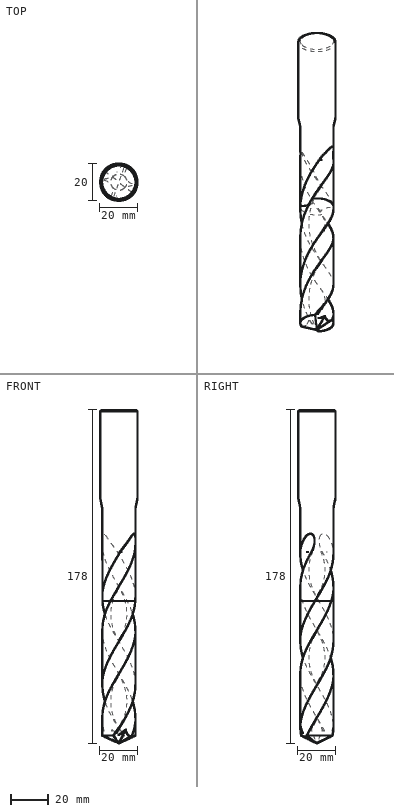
import cadquery as cq
import math

total_length = 178.0
shank_diameter = 20.0
shank_radius = shank_diameter / 2
drill_radius = 8.9

shank_start = 130.7
neck_cone_start = 125.3
chamfer_width = 1.0
chamfer_height = 0.7

joint_height = 76.0

point_angle = 130.0
point_height = drill_radius / math.tan(math.radians(point_angle / 2))

flute_count = 2
flute_pitch = 93.3
flute_radius = 5.3
web_radius = 4.3
flute_offset = web_radius + flute_radius
flute_top = 102.2
flute_crosses_x_at = 22.5

runout_tangential = 10.7
runout_outward = 4.3
runout_rise = 15.0

gash_inner = cq.Vector(0.4, -0.5, 0.9)
gash_outer = cq.Vector(3.7, -3.0, 7.5)
gash_left = cq.Vector(-1.8, -6.8, 4.1)
gash_right = cq.Vector(5.7, -4.5, 4.3)
gash_stretch = 2.0


def flute_angle(height):
    """Direction, in degrees from +X, that the first flute faces at a height."""
    return 360 * (height - flute_crosses_x_at) / flute_pitch


def about_axis(shape, degrees):
    """Turn a shape about the drill axis."""
    return shape.rotate((0, 0, 0), (0, 0, 1), degrees)


def flute_section(height):
    """Flute circle facing +X at a height."""
    return cq.Workplane("XY", origin=(0, 0, height)).moveTo(flute_offset, 0).circle(flute_radius)


def make_twisted_flute(start, end):
    """Cutter for the helical stretch of the first flute."""
    twist = flute_angle(end) - flute_angle(start)
    cutter = flute_section(start).twistExtrude(end - start, twist)
    return about_axis(cutter, flute_angle(start))


def make_runout():
    """Cutter for the straight upper end of the first flute."""
    section = cq.Wire.makeCircle(flute_radius, cq.Vector(flute_offset, 0, flute_top), cq.Vector(0, 0, 1))
    direction = cq.Vector(runout_outward, runout_tangential, runout_rise)
    cutter = cq.Solid.extrudeLinear(section, [], direction)
    return about_axis(cq.Workplane(obj=cutter), flute_angle(flute_top))


def make_gash():
    """Wedge whose edge runs from the web centre up and out to the first flute."""
    edge = gash_outer - gash_inner
    left = gash_inner + (gash_left - gash_outer) * gash_stretch
    right = gash_inner + (gash_right - gash_outer) * gash_stretch
    section = cq.Wire.makePolygon([gash_inner, left, right], close=True)
    return cq.Workplane(obj=cq.Solid.extrudeLinear(section, [], edge * gash_stretch))


def cut_each_flute(body, cutter):
    """Cut a body once for each flute."""
    for index in range(flute_count):
        body = body.cut(about_axis(cutter, index * 360 / flute_count))
    return body


def make_cutting_head():
    """Pointed, fluted lower body."""
    profile = [
        (0, 0),
        (drill_radius, point_height),
        (drill_radius, joint_height),
        (0, joint_height),
    ]
    body = cq.Workplane("XZ").polyline(profile).close().revolve(360, (0, 0), (0, 1))
    body = cut_each_flute(body, make_twisted_flute(0, joint_height))
    return cut_each_flute(body, make_gash())


def make_holder():
    """Upper body: fluted neck, cone and chamfered shank."""
    profile = [
        (0, joint_height),
        (drill_radius, joint_height),
        (drill_radius, neck_cone_start),
        (shank_radius, shank_start),
        (shank_radius, total_length - chamfer_height),
        (shank_radius - chamfer_width, total_length),
        (0, total_length),
    ]
    body = cq.Workplane("XZ").polyline(profile).close().revolve(360, (0, 0), (0, 1))
    body = cut_each_flute(body, make_twisted_flute(joint_height, flute_top))
    return cut_each_flute(body, make_runout())


cutting_head = make_cutting_head()
holder = make_holder()

result = cq.Compound.makeCompound([cutting_head.val(), holder.val()])